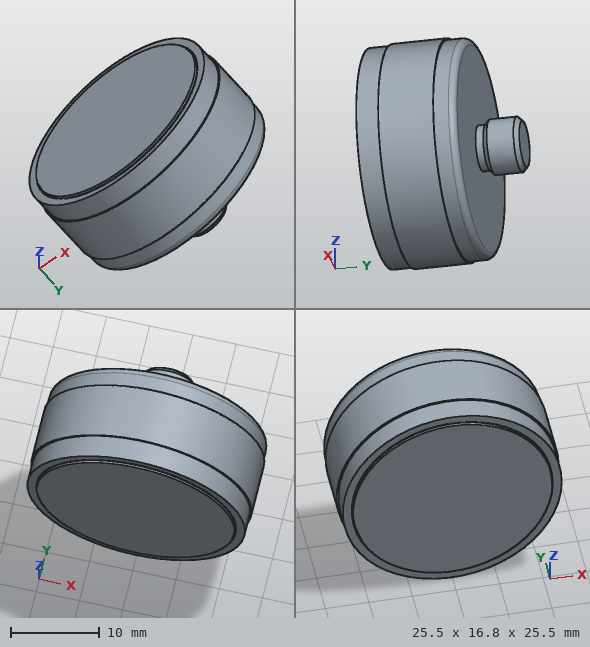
import cadquery as cq

face_diameter = 22.85
face_height = 0.23
groove_diameter = 23.1
groove_depth = 0.13

body_diameter = 25.15
body_back = 11.7
body_back_fillet = 0.82

band_diameter = 25.53
band_front = 2.8
band_length = 6.35

neck_diameter = 5.25
head_diameter = 6.35
head_front = 12.55
overall_length = 16.75
head_chamfer = (head_diameter - neck_diameter) / 2


def disc(diameter, start, end):
    """Return a cylinder along Y between two axial positions."""
    plane = cq.Workplane("XZ", origin=(0, start, 0))
    return plane.circle(diameter / 2).extrude(start - end)


housing = disc(body_diameter, face_height, body_back).faces(">Y").edges().fillet(body_back_fillet)
band = disc(band_diameter, band_front, band_front + band_length)

groove = disc(groove_diameter, face_height, face_height + groove_depth)
face_disc = disc(face_diameter, 0, face_height + groove_depth)

neck = disc(neck_diameter, body_back, head_front)
head = disc(head_diameter, head_front, overall_length).faces("<Y or >Y").edges().chamfer(head_chamfer)

result = housing.union(band).cut(groove).union(face_disc).union(neck).union(head)